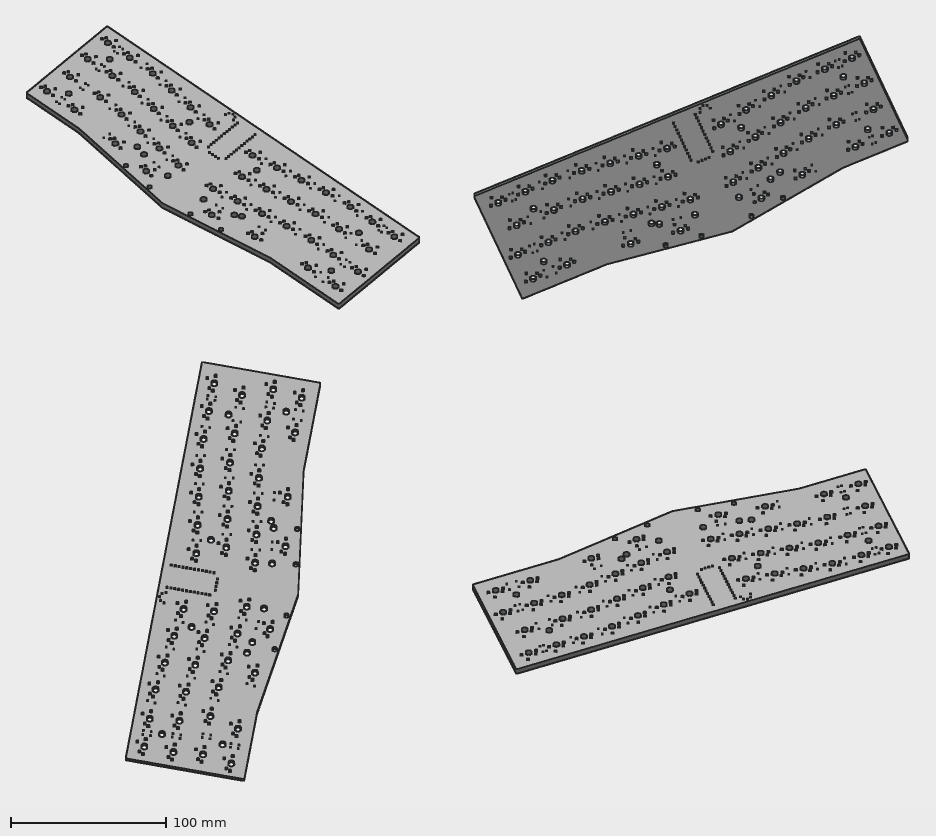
import cadquery as cq
import math

board_length = 271.5
board_depth = 77.6
thickness = 4.5
corner_radius = 0.75
tip_drop = 11.7
tip_x = 129.0
tilt = 8.0
tip_half_width = tip_drop / math.tan(math.radians(tilt))

pitches_per_board = 14.25
key_pitch = board_length / pitches_per_board
grid_steps_per_key = 15
grid = key_pitch / grid_steps_per_key
stem_diameter = 4.0
peg_diameter = 1.7
peg_offset = 4 * grid
pin_diameter = 1.5
switch_pins = [(-3 * grid, 2 * grid), (2 * grid, 4 * grid)]

stabilizer_half_span = 12.0
stabilizer_large_diameter = 4.0
stabilizer_large_offset = 8.1
stabilizer_small_diameter = 3.0
stabilizer_small_offset = 7.0

diode_hole_diameter = 0.8
diode_hole_spacing = 4 * grid
diode_offset = 8.7

front_row_y = 10.0
row_y = [front_row_y + row * key_pitch for row in (3, 2, 1, 0)]
straight_keys = [
    [(10.0, [1]), (220.7, [1, 1])],
    [(9.8, [1.125]), (228.0, [1.375])],
    [(11.7, [1.375]), (221.3, [1, 1.125])],
    [(9.0, [1.25]), (235.7, [1.25])],
]
straight_diodes_x = [
    [18.0, 20.5, 229.0, 247.5, 250.0],
    [19.5, 22.0, 236.2, 245.5],
    [22.8, 25.2, 229.7, 249.2, 252.5],
    [19.5, 22.0, 244.4, 251.0],
]

left_bank_origin = (49.1, 67.0)
left_bank_rows = [
    [0, 1, 2, 3],
    [0.25, 1.25, 2.25, 3.25],
    [0.75, 1.75, 2.75, 3.75],
    [1.625, 3.25],
]
left_thumb_keys_with_diode_behind = [3.25]
left_stabilized_key = 3.25
right_bank_origin = (144.2, 57.8)
right_bank_rows = [
    [0, 1, 2, 3],
    [0.25, 1.25, 2.25, 3.25],
    [-0.25, 0.75, 1.75, 2.75],
    [0.375, 2.125],
]
right_thumb_keys_with_diode_behind = [0.375, 2.125]
right_stabilized_key = 0.375
thumb_row = 3

controller_hole_diameter = 1.0
controller_pitch = 2 * grid
controller_pins = 12
controller_left_x = 118.0
controller_width = 12 * grid
controller_back_y = 72.2
controller_end_pins = 4
controller_end_y = 41.3

arc_hole_diameter = 0.98
arc_center = (111.0, 72.2)
arc_radius = 3.5
arc_holes = 5

mounting_diameter = 4.0
mounting_holes = [
    (20.4, 57.5), (94.8, 51.9), (154.8, 50.2), (239.7, 54.3),
    (20.5, 18.0), (84.2, 13.5), (174.3, 14.5), (248.5, 18.2),
]

holes = {}


def add_hole(diameter, point):
    holes.setdefault(diameter, []).append(point)


def place(local, center, angle):
    """Turn a local point by the angle in degrees and move it to the centre."""
    cosine = math.cos(math.radians(angle))
    sine = math.sin(math.radians(angle))
    x, y = local
    return (center[0] + x * cosine - y * sine, center[1] + x * sine + y * cosine)


def add_switch(center, angle=0):
    add_hole(stem_diameter, center)
    for side in (-1, 1):
        add_hole(peg_diameter, place((side * peg_offset, 0), center, angle))
    for pin in switch_pins:
        add_hole(pin_diameter, place(pin, center, angle))


def add_stabilizer(center, angle):
    for x in (-stabilizer_half_span, stabilizer_half_span):
        add_hole(stabilizer_large_diameter, place((x, stabilizer_large_offset), center, angle))
        add_hole(stabilizer_small_diameter, place((x, -stabilizer_small_offset), center, angle))


def add_diode(center, angle):
    """Two holes in line along the angle."""
    for x in (-diode_hole_spacing / 2, diode_hole_spacing / 2):
        add_hole(diode_hole_diameter, place((x, 0), center, angle))


def add_straight_keys():
    for y, runs, diodes_x in zip(row_y, straight_keys, straight_diodes_x):
        for x, steps in runs:
            add_switch((x, y))
            for step in steps:
                x += step * key_pitch
                add_switch((x, y))
        for x in diodes_x:
            add_diode((x, y), 90)


def add_tilted_bank(origin, angle, rows, diode_side, keys_with_diode_behind, stabilized_key):
    """Rows of turned keys; diode_side is -1 for diodes left of their keys, 1 for right."""
    for row, places in enumerate(rows):
        for along in places:
            center = place((along * key_pitch, -row * key_pitch), origin, angle)
            add_switch(center, angle)
            if row == thumb_row and along in keys_with_diode_behind:
                add_diode(place((0, diode_offset), center, angle), angle)
            else:
                add_diode(place((diode_side * diode_offset, 0), center, angle), angle + 90)
            if row == thumb_row and along == stabilized_key:
                add_stabilizer(center, angle)


def add_controller():
    for x in (controller_left_x, controller_left_x + controller_width):
        for pin in range(controller_pins):
            add_hole(controller_hole_diameter, (x, controller_back_y - pin * controller_pitch))
    middle_x = controller_left_x + controller_width / 2
    for pin in range(controller_end_pins):
        x = middle_x + (pin - (controller_end_pins - 1) / 2) * controller_pitch
        add_hole(controller_hole_diameter, (x, controller_end_y))


def add_hole_arc():
    for hole in range(arc_holes):
        angle = 180 * hole / (arc_holes - 1)
        add_hole(arc_hole_diameter, place((arc_radius, 0), arc_center, angle))


def make_board():
    outline = [
        (0, 0),
        (tip_x - tip_half_width, 0),
        (tip_x, -tip_drop),
        (tip_x + tip_half_width, 0),
        (board_length, 0),
        (board_length, board_depth),
        (0, board_depth),
    ]
    board = cq.Workplane("XY").polyline(outline).close().extrude(thickness)
    return board.edges("|Z and (<X or >X)").fillet(corner_radius)


def make_drills():
    """One compound with a cylinder for every hole."""
    cylinders = []
    for diameter, points in holes.items():
        drill = cq.Workplane("XY").pushPoints(points).circle(diameter / 2).extrude(thickness, combine=False)
        cylinders.extend(drill.vals())
    return cq.Workplane(cq.Compound.makeCompound(cylinders))


add_straight_keys()
add_tilted_bank(
    left_bank_origin, -tilt, left_bank_rows, -1,
    left_thumb_keys_with_diode_behind, left_stabilized_key,
)
add_tilted_bank(
    right_bank_origin, tilt, right_bank_rows, 1,
    right_thumb_keys_with_diode_behind, right_stabilized_key,
)
add_controller()
add_hole_arc()
for mounting_hole in mounting_holes:
    add_hole(mounting_diameter, mounting_hole)

result = make_board().cut(make_drills())